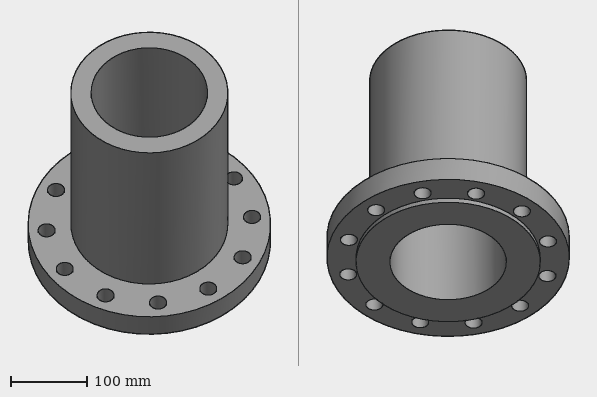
import cadquery as cq

flange_diameter = 317.5
flange_thickness = 36.0
face_diameter = 241.2
face_height = 7.0
pipe_diameter = 205.7
bore_diameter = 152.5
total_height = 311.0
bolt_circle_diameter = 269.8
bolt_hole_diameter = 22.2
bolt_count = 12

flange_top = face_height + flange_thickness


def cylinder(diameter, bottom, top):
    """Upright cylinder on the Z axis between two heights."""
    return cq.Workplane("XY").workplane(offset=bottom).circle(diameter / 2).extrude(top - bottom)


face = cylinder(face_diameter, 0, face_height)
flange = cylinder(flange_diameter, face_height, flange_top)
pipe = cylinder(pipe_diameter, flange_top, total_height)
body = face.union(flange).union(pipe)

bore = cylinder(bore_diameter, 0, total_height)
bolt_holes = (
    cq.Workplane("XY")
    .polarArray(bolt_circle_diameter / 2, 0, 360, bolt_count)
    .circle(bolt_hole_diameter / 2)
    .extrude(flange_top)
)

result = body.cut(bore).cut(bolt_holes)